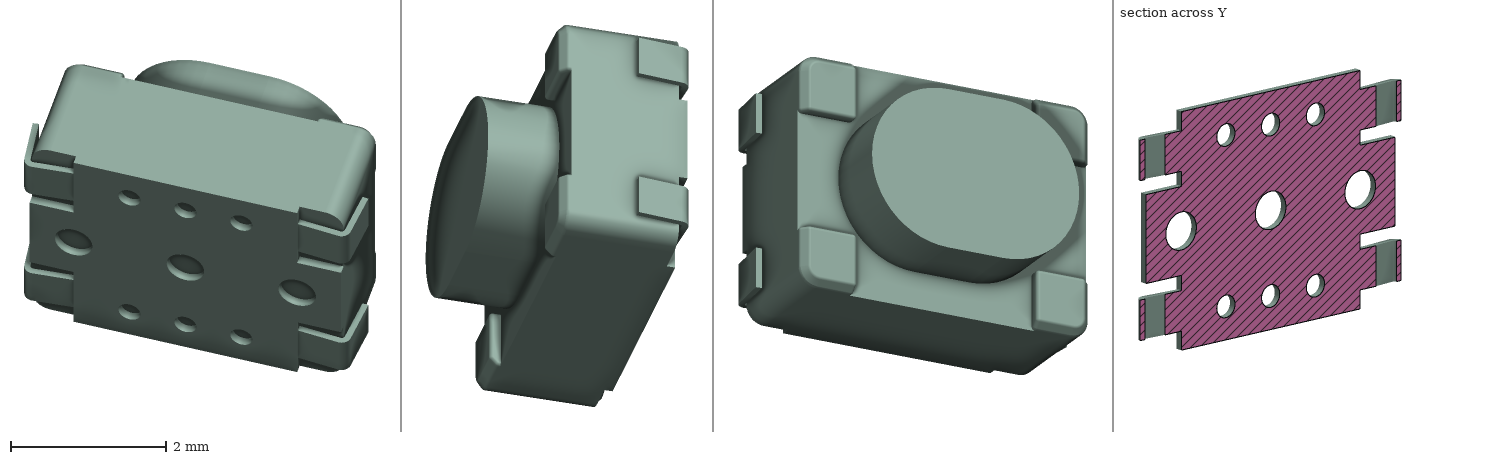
import cadquery as cq
import math

overall_width = 4.5

body_width = 4.175
body_height = 3.2
body_depth = 1.55
body_corner_radius = 0.248

pad_top = 1.695
pad_inner_x = 1.3
pad_inner_z = 0.795
pad_chamfer = 0.1
pad_edge_radius = 0.05
rim_search = 0.005

button_width = 2.995
button_height = 2.195
button_top = 2.498

recess_inner_x = 1.5
recess_inner_z = 0.6
recess_depth = 0.112

hole_depth = recess_depth
large_hole_radius = 0.25
large_hole_pitch = 1.5
small_hole_radius = 0.15
small_hole_pitch_x = large_hole_pitch / 2
small_hole_z = 1.148

terminal_thickness = 0.08
terminal_bend_radius = 0.125
terminal_inner_z = pad_inner_z
terminal_outer_z = 1.345
terminal_tip_y = 0.695
terminal_standoff = 0.015
wall_lean = math.radians(6)
leg_lean = math.radians(4.5)


def block(x_range, y_range, z_range):
    """Box given by its limits along X, Y and Z."""
    size = [high - low for low, high in (x_range, y_range, z_range)]
    corner = (x_range[0], y_range[0], z_range[0])
    return cq.Workplane("XY").box(*size, centered=False).translate(corner)


def mirror_to_corners(shape):
    """Copy a shape from the +X +Z corner to all four corners."""
    pair = shape.union(shape.mirror("YZ"))
    return pair.union(pair.mirror("XY"))


def rounded_prism(depth):
    """Housing outline with round corners, extruded from Y = 0 to the given depth."""
    return (
        cq.Workplane("XZ")
        .rect(body_width, body_height)
        .extrude(-depth)
        .edges("|Y")
        .fillet(body_corner_radius)
    )


def make_corner_pads():
    """Four pads with a chamfered outer rim; the edges of the chamfer and the inner sides are rounded."""
    housing = rounded_prism(pad_top).faces(">Y").edges().chamfer(pad_chamfer)
    housing = housing.faces(">Y").edges().fillet(pad_edge_radius)
    chamfer_foot = pad_top - pad_chamfer
    rim = cq.selectors.BoxSelector(
        (-body_width, chamfer_foot - rim_search, -body_height),
        (body_width, chamfer_foot + rim_search, body_height),
        boundingbox=True,
    )
    housing = housing.edges(rim).fillet(pad_edge_radius)

    quarter = block(
        (pad_inner_x, body_width / 2),
        (body_depth, pad_top),
        (pad_inner_z, body_height / 2),
    )
    pad = quarter.intersect(housing)
    pad = pad.faces("<X or <Z").edges("not <Y").fillet(pad_edge_radius)
    return mirror_to_corners(pad)


def make_button():
    """Obround button standing on the housing."""
    return (
        cq.Workplane("XZ", origin=(0, body_depth, 0))
        .slot2D(button_width, button_height)
        .extrude(body_depth - button_top)
    )


def make_recesses():
    """Cutters for the shallow corner recesses that hold the terminals."""
    recess = block(
        (recess_inner_x, body_width),
        (-recess_depth, recess_depth),
        (recess_inner_z, body_height),
    )
    return mirror_to_corners(recess)


def make_holes():
    """Cutters for three large holes on the centreline and two rows of three small ones."""
    large_centres = [(column * large_hole_pitch, 0) for column in (-1, 0, 1)]
    small_centres = [
        (column * small_hole_pitch_x, row * small_hole_z)
        for column in (-1, 0, 1)
        for row in (-1, 1)
    ]
    face = cq.Workplane("XZ")
    large_holes = face.pushPoints(large_centres).circle(large_hole_radius).extrude(-hole_depth)
    small_holes = face.pushPoints(small_centres).circle(small_hole_radius).extrude(-hole_depth)
    return large_holes.union(small_holes)


def make_terminals():
    """Four bent strips: a leg rising inward to the recess wall and an outward leaning upright."""
    inner_radius = terminal_bend_radius - terminal_thickness
    tip_x = overall_width / 2

    leg_normal = (-math.sin(leg_lean), -math.cos(leg_lean))
    wall_normal = (math.cos(wall_lean), -math.sin(wall_lean))
    wall_direction = (math.sin(wall_lean), math.cos(wall_lean))
    middle_angle = (wall_lean + math.pi / 2 + leg_lean) / 2
    bend_normal = (math.cos(middle_angle), -math.sin(middle_angle))

    bend_y = terminal_bend_radius - terminal_standoff
    wall_start_y = bend_y + terminal_bend_radius * wall_normal[1]
    wall_length = (terminal_tip_y - wall_start_y) / wall_direction[1]
    bend_x = tip_x - terminal_bend_radius * wall_normal[0] - wall_length * wall_direction[0]

    def on_bend(radius, direction):
        return (bend_x + radius * direction[0], bend_y + radius * direction[1])

    def leg_end(radius):
        x, y = on_bend(radius, leg_normal)
        return (recess_inner_x, y + (x - recess_inner_x) * math.tan(leg_lean))

    def wall_end(radius):
        x, y = on_bend(radius, wall_normal)
        return (x + wall_length * wall_direction[0], y + wall_length * wall_direction[1])

    terminal = (
        cq.Workplane("XY", origin=(0, 0, terminal_inner_z))
        .moveTo(*leg_end(terminal_bend_radius))
        .lineTo(*on_bend(terminal_bend_radius, leg_normal))
        .threePointArc(
            on_bend(terminal_bend_radius, bend_normal),
            on_bend(terminal_bend_radius, wall_normal),
        )
        .lineTo(*wall_end(terminal_bend_radius))
        .lineTo(*wall_end(inner_radius))
        .lineTo(*on_bend(inner_radius, wall_normal))
        .threePointArc(
            on_bend(inner_radius, bend_normal),
            on_bend(inner_radius, leg_normal),
        )
        .lineTo(*leg_end(inner_radius))
        .close()
        .extrude(terminal_outer_z - terminal_inner_z)
    )
    return mirror_to_corners(terminal)


body = rounded_prism(body_depth).union(make_corner_pads()).union(make_button())
body = body.cut(make_recesses()).cut(make_holes())
result = body.union(make_terminals())